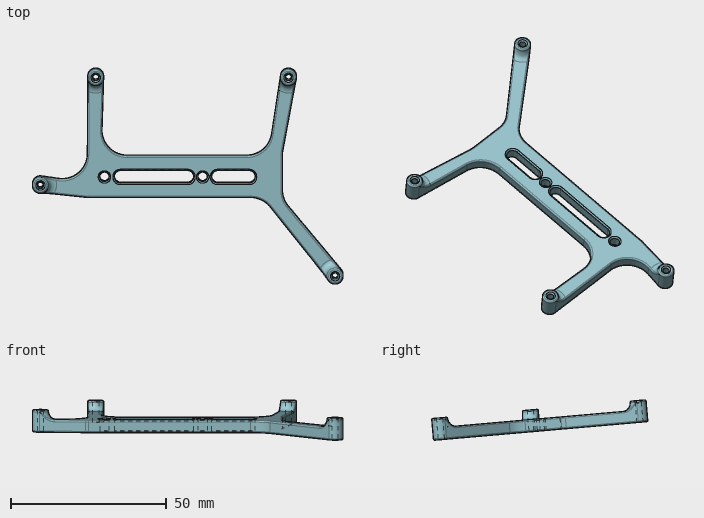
import cadquery as cq
import math

overall_length = 99.9

plate_thickness = 4.0
tilt_angle = 5.0
bottom_edge = -6.7
top_edge = 6.8
left_edge = -5.6
right_edge = 57.2
edge_rounding = 0.5

boss_radius = 2.6
boss_height = 7.1
boss_hole_radius = 1.0
upper_boss_y = 32.3
upper_left_boss = (-2.8, upper_boss_y)
upper_right_boss = (59.1, upper_boss_y)
left_boss = (-20.6, -2.5)
lower_right_boss = (left_boss[0] + overall_length - 2 * boss_radius, -31.8)
bosses = [upper_left_boss, left_boss, lower_right_boss, upper_right_boss]

lower_left_knee = (left_edge, bottom_edge)
lower_right_inner = (50.8, bottom_edge)
lower_right_outer = (right_edge, -7.4)
upper_right_knee = (right_edge, 7.8)
upper_right_inner = (52.6, top_edge)
upper_left_inner = (-1.0, top_edge)
left_inner = (left_edge, -2.0)
corner_radius = 8.0

screw_hole_xs = (0, 31.6)
screw_hole_radius = 1.5
slot_spans = ((3.2, 28.7), (34.5, 48.5))
slot_width = 4.0
hole_chamfer = 0.5


def tangent_point(corner, boss, side):
    """Point where a line from corner touches the boss circle.

    Seen from the boss centre, it lies clockwise of the corner for side +1, anticlockwise for -1.
    """
    dx = corner[0] - boss[0]
    dy = corner[1] - boss[1]
    angle = math.atan2(dy, dx) - side * math.acos(boss_radius / math.hypot(dx, dy))
    return (boss[0] + boss_radius * math.cos(angle), boss[1] + boss_radius * math.sin(angle))


def arm_end(outline, boss, corner_before, corner_after):
    """Run the outline up one arm edge, round the boss and onto the other arm edge."""
    start = tangent_point(corner_before, boss, -1)
    end = tangent_point(corner_after, boss, 1)
    middle_x = (corner_before[0] + corner_after[0]) / 2
    middle_y = (corner_before[1] + corner_after[1]) / 2
    reach = math.hypot(boss[0] - middle_x, boss[1] - middle_y)
    tip = (
        boss[0] + boss_radius * (boss[0] - middle_x) / reach,
        boss[1] + boss_radius * (boss[1] - middle_y) / reach,
    )
    return outline.lineTo(*start).threePointArc(tip, end).lineTo(*corner_after)


def bracket_blank(height):
    """Bar and four arms as one prism with rounded corners."""
    outline = cq.Workplane("XY").moveTo(*lower_left_knee).lineTo(*lower_right_inner)
    outline = arm_end(outline, lower_right_boss, lower_right_inner, lower_right_outer)
    outline = outline.lineTo(*upper_right_knee)
    outline = arm_end(outline, upper_right_boss, upper_right_knee, upper_right_inner)
    outline = outline.lineTo(*upper_left_inner)
    outline = arm_end(outline, upper_left_boss, upper_left_inner, left_inner)
    outline = arm_end(outline, left_boss, left_inner, lower_left_knee)
    blank = outline.close().extrude(height)
    sharp_corners = [
        lower_left_knee, lower_right_inner, lower_right_outer, upper_right_knee,
        upper_right_inner, upper_left_inner, left_inner,
    ]
    for corner in sharp_corners:
        corner_edge = cq.selectors.NearestToPointSelector((*corner, height / 2))
        blank = blank.edges(corner_edge).fillet(corner_radius)
    return blank


def boss_body(centre):
    """Round-rimmed boss whose foot flares out in a concave arc to meet the arm."""
    flare_top = boss_height - edge_rounding
    flare_radius = flare_top - plate_thickness
    flare_inset = flare_radius * (1 - math.sqrt(0.5))
    rim_inset = edge_rounding * (1 - math.sqrt(0.5))
    profile = (
        cq.Workplane("XZ")
        .lineTo(boss_radius + flare_radius, 0)
        .lineTo(boss_radius + flare_radius, plate_thickness)
        .threePointArc((boss_radius + flare_inset, plate_thickness + flare_inset), (boss_radius, flare_top))
        .threePointArc(
            (boss_radius - rim_inset, boss_height - rim_inset),
            (boss_radius - edge_rounding, boss_height),
        )
        .lineTo(0, boss_height)
        .close()
    )
    return profile.revolve(360, (0, 0, 0), (0, 1, 0)).translate((*centre, 0))


def hole_cutter(radius, depth):
    """Cutter for a through hole of the given depth, chamfered at the top."""
    hole = cq.Workplane("XY").circle(radius).extrude(depth)
    chamfer_base = cq.Vector(0, 0, depth - hole_chamfer)
    countersink = cq.Solid.makeCone(radius, radius + hole_chamfer, hole_chamfer, chamfer_base)
    return hole.union(cq.Workplane(countersink))


def slot_cutter(start, end):
    """Cutter for a through slot along the bar, chamfered at the top."""
    length = end - start
    base = cq.Workplane("XY").center((start + end) / 2, 0)
    slot = base.slot2D(length, slot_width).extrude(plate_thickness)
    chamfer = (
        base.workplane(offset=plate_thickness)
        .slot2D(length + 2 * hole_chamfer, slot_width + 2 * hole_chamfer)
        .extrude(-hole_chamfer, taper=45)
    )
    return slot.union(chamfer)


bracket = bracket_blank(plate_thickness)
boss_envelope = bracket_blank(boss_height)
for boss in bosses:
    bracket = bracket.union(boss_body(boss).intersect(boss_envelope))

bracket = bracket.faces("<Z").fillet(edge_rounding)
bar_middle_x = (left_edge + right_edge) / 2
rim_points = [
    (bar_middle_x, top_edge),
    (bar_middle_x, bottom_edge),
    (right_edge, 0),
    (left_edge, upper_boss_y / 2),
]
for point in rim_points:
    rim_edge = cq.selectors.NearestToPointSelector((*point, plate_thickness))
    bracket = bracket.edges(rim_edge).fillet(edge_rounding)

for boss in bosses:
    bracket = bracket.cut(hole_cutter(boss_hole_radius, boss_height).translate((*boss, 0)))
for x in screw_hole_xs:
    bracket = bracket.cut(hole_cutter(screw_hole_radius, plate_thickness).translate((x, 0, 0)))
for start, end in slot_spans:
    bracket = bracket.cut(slot_cutter(start, end))

result = bracket.rotate((0, 0, 0), (1, 0, 0), tilt_angle)